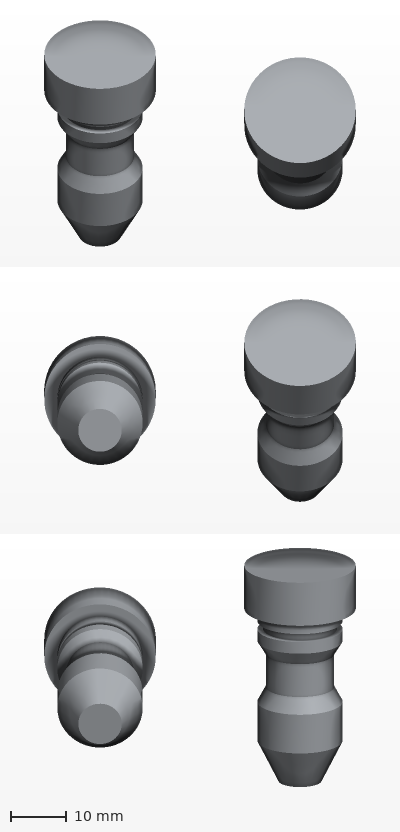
import cadquery as cq

total_height = 40.65

head_diameter = 20.05
shank_diameter = 15.32
groove_diameter = 13.3
neck_diameter = 12.27
tip_diameter = 7.8

tip_length = 7.6
body_length = 7.3
lower_cone_length = 2.85
neck_length = 6.2
upper_cone_length = 2.48
ring_length = 2.2
groove_length = 1.5
collar_length = 2.35

body_bottom = tip_length
body_top = body_bottom + body_length
neck_bottom = body_top + lower_cone_length
neck_top = neck_bottom + neck_length
ring_bottom = neck_top + upper_cone_length
groove_bottom = ring_bottom + ring_length
groove_top = groove_bottom + groove_length
head_bottom = groove_top + collar_length

head_radius = head_diameter / 2
shank_radius = shank_diameter / 2
groove_radius = groove_diameter / 2
neck_radius = neck_diameter / 2
tip_radius = tip_diameter / 2

half_profile = [
    (0, 0),
    (tip_radius, 0),
    (shank_radius, body_bottom),
    (shank_radius, body_top),
    (neck_radius, neck_bottom),
    (neck_radius, neck_top),
    (shank_radius, ring_bottom),
    (shank_radius, groove_bottom),
    (groove_radius, groove_bottom),
    (groove_radius, groove_top),
    (shank_radius, groove_top),
    (shank_radius, head_bottom),
    (head_radius, head_bottom),
    (head_radius, total_height),
    (0, total_height),
]

result = (
    cq.Workplane("XZ")
    .polyline(half_profile)
    .close()
    .revolve(360, (0, 0, 0), (0, 1, 0))
)